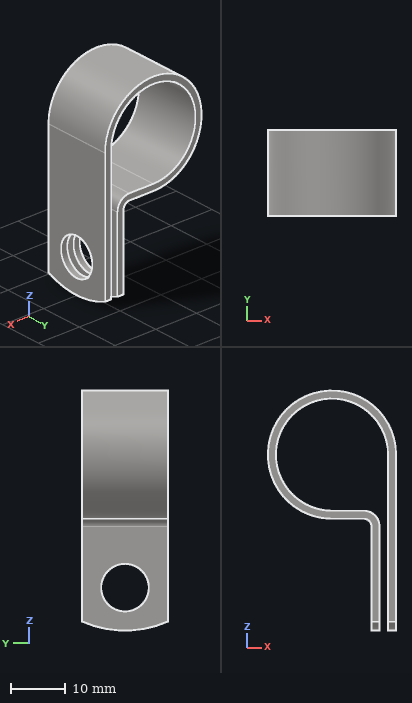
import cadquery as cq
import math

thickness = 1.524
loop_diameter = 20.625
width = 15.875
overall_height = 44.28
leg_gap = 1.524
bend_inner_radius = 1.4
hole_diameter = 8.731
hole_above_tip = 7.9375
tip_rise = 1.69

loop_inner_radius = loop_diameter / 2
loop_outer_radius = loop_inner_radius + thickness
bend_outer_radius = bend_inner_radius + thickness
tip_z = loop_outer_radius - overall_height
short_leg_outer_x = loop_inner_radius - leg_gap
short_leg_inner_x = short_leg_outer_x - thickness
bend_x = short_leg_outer_x - bend_outer_radius
bend_z = -loop_inner_radius - bend_outer_radius
half_width = width / 2
diagonal_share = math.cos(math.radians(45))


def point_on_bend(radius):
    """Midpoint of the quarter-circle bend at the given radius."""
    offset = radius * diagonal_share
    return (bend_x + offset, bend_z + offset)


def point_on_loop(radius):
    """Midpoint of the three-quarter loop at the given radius."""
    offset = radius * diagonal_share
    return (-offset, offset)


def make_strap():
    """Bent strap with square-ended legs."""
    return (
        cq.Workplane("XZ")
        .moveTo(loop_outer_radius, tip_z)
        .lineTo(loop_outer_radius, 0)
        .threePointArc(point_on_loop(loop_outer_radius), (0, -loop_outer_radius))
        .lineTo(bend_x, -loop_outer_radius)
        .threePointArc(point_on_bend(bend_inner_radius), (short_leg_inner_x, bend_z))
        .lineTo(short_leg_inner_x, tip_z)
        .lineTo(short_leg_outer_x, tip_z)
        .lineTo(short_leg_outer_x, bend_z)
        .threePointArc(point_on_bend(bend_outer_radius), (bend_x, -loop_inner_radius))
        .lineTo(0, -loop_inner_radius)
        .threePointArc(point_on_loop(loop_inner_radius), (loop_inner_radius, 0))
        .lineTo(loop_inner_radius, tip_z)
        .close()
        .extrude(half_width, both=True)
    )


def make_rounded_envelope():
    """Block around the whole strap whose lower edge is the rounded leg end."""
    corner_z = tip_z + tip_rise
    return (
        cq.Workplane("YZ", origin=(-loop_outer_radius, 0, 0))
        .moveTo(-half_width, loop_outer_radius)
        .lineTo(-half_width, corner_z)
        .threePointArc((0, tip_z), (half_width, corner_z))
        .lineTo(half_width, loop_outer_radius)
        .close()
        .extrude(2 * loop_outer_radius)
    )


def make_bolt_hole():
    """Cylinder along X through both legs."""
    return (
        cq.Workplane("YZ")
        .center(0, tip_z + hole_above_tip)
        .circle(hole_diameter / 2)
        .extrude(loop_outer_radius)
    )


result = make_strap().intersect(make_rounded_envelope()).cut(make_bolt_hole())